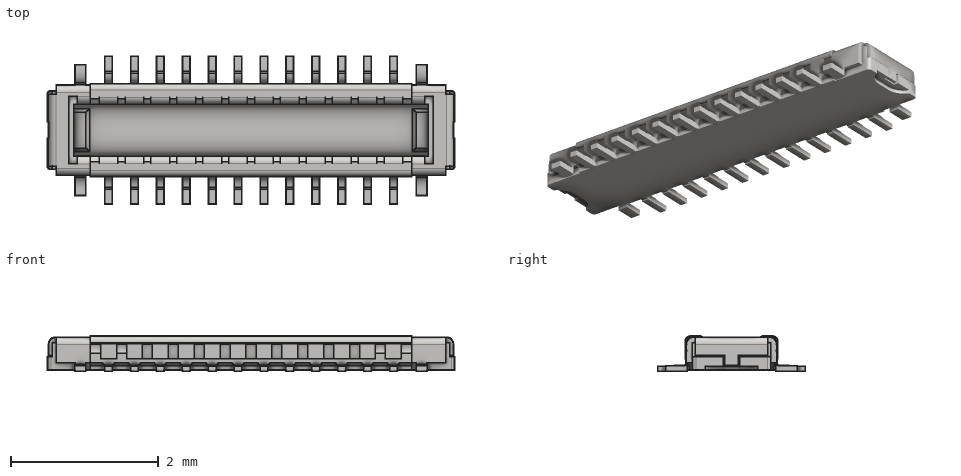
import cadquery as cq

LENGTH = 5.51
LEAD_SPAN = 2.0

SEAT_Z = 0.015
LEAD_TOP_Z = 0.07
FOOT_Z = 0.075
SKIRT_Z = 0.115
FLOOR_Z = 0.11
CORE_TOP_Z = 0.385
SHELL_TOP_Z = 0.465
WALL_TOP_Z = 0.48

CORE_LENGTH = 5.37
CORE_WIDTH = 1.065
CAVITY_LENGTH = 4.795
CAVITY_WIDTH = 0.705
LIP_TOP_Z = 0.2
LIP_CORNER_R = 0.05
KEY_HALF = 0.11
KEY_Z = 0.065
NOTCH_HALF = 0.36
NOTCH_TOP_Z = 0.065
NOTCH_DEPTH = 0.165

PAD_INNER_X = 2.18
PAD_WIDTH = 0.585
PAD_HEIGHT = 0.05
PAD_SLOPE = PAD_HEIGHT

SHELL_SIDE_X = 2.635
SHELL_END_X = 2.74
SHELL_SIDE_Y = 0.61
SHELL_END_WIDTH = 0.975
SHELL_R = 0.1
SHELL_CLEARANCE = 0.015
OPENING_END_X = 2.465
OPENING_HALF_Y = 0.46
CURL_OUTER_X = 2.35
CURL_BOTTOM_Z = 0.3
CURL_PROUD = 0.005

WALL_LENGTH = 4.35
WALL_Y = 0.63
WALL_R = 0.08
INNER_R = 0.095
BEVEL_Y = 0.425
BEVEL_BOTTOM_Z = 0.425
BROW_Z = 0.385
BROW_SLOPE_Z = 0.365
SKIRT_Y = 0.615
FOOT_Y = 0.56
POCKET_Y = 0.59
POCKET_Z = 0.17
END_POCKET_Z = 0.25

CONTACTS = 12
ROW_LENGTH = 3.85
PITCH = ROW_LENGTH / (CONTACTS - 1)
CONTACT_WIDTH = 0.215
CONTACT_Y = 0.62
CONTACT_TOP_WIDTH = 0.255
LEAD_WIDTH = 0.105
LEAD_ROOT_WIDTH = 0.165
LEAD_ROOT_Y = 0.595
LEAD_END_Y = LEAD_SPAN / 2
LEAD_STEP_Y = 0.77
LEAD_STEP_RUN = 0.03
LEAD_RAISED_Z = 0.08

TAB_X = 2.31
TAB_WIDTH = 0.15
TAB_END_Y = 0.885
TAB_BEND_Y = 0.64
TAB_BEND_Z = 0.095

CAVITY_Y = CAVITY_WIDTH / 2
CAVITY_X = CAVITY_LENGTH / 2
CORE_X = CORE_LENGTH / 2
contact_xs = [PITCH * i - ROW_LENGTH / 2 for i in range(CONTACTS)]
WALL_X = WALL_LENGTH / 2
INNER_ROUND_Y = CAVITY_Y + INNER_R
INNER_ROUND_Z = WALL_TOP_Z - INNER_R


def block(x0, x1, y0, y1, z0, z1):
    return cq.Workplane("XY").box(x1 - x0, y1 - y0, z1 - z0, centered=False).translate((x0, y0, z0))


def mid_block(length, width, z0, z1):
    return block(-length / 2, length / 2, -width / 2, width / 2, z0, z1)


def along_x(section, x, width):
    """Extrude a closed YZ section over a width centred on x."""
    return section.extrude(width / 2, both=True).translate((x, 0, 0))


def yz_prism(points, x, width):
    return along_x(cq.Workplane("YZ").polyline(points).close(), x, width)


def both_sides(solid):
    return solid.union(solid.mirror("XZ"))


def both_ends(solid):
    return solid.union(solid.mirror("YZ"))


def housing_core():
    core = mid_block(CORE_LENGTH, CORE_WIDTH, SEAT_Z, CORE_TOP_Z)
    lips = mid_block(LENGTH, CORE_WIDTH, SEAT_Z, LIP_TOP_Z).edges("|Z").fillet(LIP_CORNER_R)
    key = block(CORE_X, LENGTH / 2, -KEY_HALF, KEY_HALF, KEY_Z, LIP_TOP_Z)
    return core.union(lips).cut(both_ends(key))


def end_notches():
    deep_x = LENGTH / 2 - NOTCH_DEPTH
    notch = (
        cq.Workplane("XY", origin=(0, 0, SEAT_Z))
        .moveTo(deep_x, 0)
        .lineTo(deep_x, KEY_HALF)
        .tangentArcPoint((LENGTH / 2, NOTCH_HALF), relative=False)
        .lineTo(LENGTH / 2, 0)
        .close()
        .extrude(NOTCH_TOP_Z - SEAT_Z)
    )
    return both_ends(both_sides(notch))


def end_shells():
    sides = mid_block(2 * SHELL_SIDE_X, 2 * SHELL_SIDE_Y, SKIRT_Z, SHELL_TOP_Z)
    sides = sides.edges("|X and >Z").fillet(SHELL_R)
    end_bottom_z = LIP_TOP_Z + SHELL_CLEARANCE
    leg_width = 2 * (KEY_HALF - SHELL_CLEARANCE)
    leg_bottom_z = KEY_Z + SHELL_CLEARANCE
    ends = mid_block(2 * SHELL_END_X, SHELL_END_WIDTH, end_bottom_z, SHELL_TOP_Z)
    ends = ends.edges("|Y and >Z").fillet(SHELL_R)
    legs = mid_block(2 * SHELL_END_X, leg_width, leg_bottom_z, end_bottom_z)
    middle = mid_block(WALL_LENGTH, LENGTH, 0, LENGTH)
    opening = mid_block(2 * OPENING_END_X, 2 * OPENING_HALF_Y, CORE_TOP_Z, LENGTH)
    return sides.union(ends).union(legs).cut(middle).cut(opening)


def shell_curls():
    inner_y = CAVITY_Y - CURL_PROUD
    round_z = SHELL_TOP_Z - (OPENING_HALF_Y - inner_y)
    section = (
        cq.Workplane("YZ")
        .moveTo(inner_y, CURL_BOTTOM_Z)
        .lineTo(inner_y, round_z)
        .tangentArcPoint((OPENING_HALF_Y, SHELL_TOP_Z), relative=False)
        .lineTo(OPENING_HALF_Y, CURL_BOTTOM_Z)
        .close()
    )
    curl = along_x(section, (WALL_X + CURL_OUTER_X) / 2, CURL_OUTER_X - WALL_X)
    return both_ends(both_sides(curl))


def contact_top(x):
    """Rounded contact top on the inner edge of a wall."""
    section = (
        cq.Workplane("YZ")
        .moveTo(CAVITY_Y, BROW_SLOPE_Z)
        .lineTo(CAVITY_Y, INNER_ROUND_Z)
        .tangentArcPoint((INNER_ROUND_Y, WALL_TOP_Z), relative=False)
        .lineTo(INNER_ROUND_Y, BROW_SLOPE_Z)
        .close()
    )
    return along_x(section, x, CONTACT_TOP_WIDTH)


def side_walls():
    section = (
        cq.Workplane("YZ")
        .moveTo(BEVEL_Y, WALL_TOP_Z)
        .lineTo(WALL_Y - WALL_R, WALL_TOP_Z)
        .tangentArcPoint((WALL_Y, WALL_TOP_Z - WALL_R), relative=False)
        .lineTo(WALL_Y, BROW_Z)
        .lineTo(SKIRT_Y, BROW_SLOPE_Z)
        .lineTo(POCKET_Y, BROW_SLOPE_Z)
        .lineTo(POCKET_Y, POCKET_Z)
        .lineTo(SKIRT_Y, POCKET_Z)
        .lineTo(SKIRT_Y, SKIRT_Z)
        .lineTo(FOOT_Y, FOOT_Z)
        .lineTo(FOOT_Y, SEAT_Z)
        .lineTo(CAVITY_Y, SEAT_Z)
        .lineTo(CAVITY_Y, BEVEL_BOTTOM_Z)
        .close()
    )
    wall = along_x(section, 0, WALL_LENGTH)
    half = CONTACT_TOP_WIDTH / 2
    for x in contact_xs:
        slot = block(x - half, x + half, CAVITY_Y, INNER_ROUND_Y, BROW_SLOPE_Z, WALL_TOP_Z)
        wall = wall.cut(slot).union(contact_top(x))
    return both_sides(wall)


def end_pocket_steps():
    """Hollow-topped fill in the two outermost pockets at each wall end."""
    section = (
        cq.Workplane("YZ")
        .moveTo(INNER_ROUND_Y, POCKET_Z)
        .lineTo(INNER_ROUND_Y, BROW_Z)
        .lineTo(POCKET_Y, BROW_Z)
        .lineTo(POCKET_Y, BROW_SLOPE_Z)
        .tangentArcPoint((SKIRT_Y, END_POCKET_Z), relative=False)
        .lineTo(SKIRT_Y, POCKET_Z)
        .close()
    )
    inner_x = contact_xs[-2]
    steps = along_x(section, (inner_x + WALL_X) / 2, WALL_X - inner_x)
    return both_ends(both_sides(steps))


def lead(x):
    points = [
        (LEAD_ROOT_Y, 0),
        (LEAD_END_Y, 0),
        (LEAD_END_Y, LEAD_TOP_Z),
        (LEAD_STEP_Y + LEAD_STEP_RUN, LEAD_TOP_Z),
        (LEAD_STEP_Y, LEAD_RAISED_Z),
        (FOOT_Y, LEAD_RAISED_Z),
        (FOOT_Y, SEAT_Z),
        (LEAD_ROOT_Y, SEAT_Z),
    ]
    root = (
        cq.Workplane("XZ")
        .moveTo(x - LEAD_WIDTH / 2, FOOT_Z)
        .lineTo(x + LEAD_WIDTH / 2, FOOT_Z)
        .lineTo(x + LEAD_ROOT_WIDTH / 2, SKIRT_Z)
        .lineTo(x - LEAD_ROOT_WIDTH / 2, SKIRT_Z)
        .close()
        .extrude(SKIRT_Y - FOOT_Y)
        .translate((0, SKIRT_Y, 0))
    )
    return yz_prism(points, x, LEAD_WIDTH).union(root)


def contacts():
    row = cq.Workplane("XY")
    half = CONTACT_WIDTH / 2
    for x in contact_xs:
        face = block(x - half, x + half, INNER_ROUND_Y, CONTACT_Y, POCKET_Z, BROW_Z)
        row = row.union(face).union(lead(x))
    return both_sides(row)


def hold_down_tabs():
    points = [
        (LEAD_ROOT_Y, 0),
        (TAB_END_Y, 0),
        (TAB_END_Y, FOOT_Z),
        (TAB_BEND_Y, FOOT_Z),
        (SHELL_SIDE_Y, TAB_BEND_Z),
        (SHELL_SIDE_Y, SKIRT_Z),
        (LEAD_ROOT_Y, SKIRT_Z),
    ]
    return both_ends(both_sides(yz_prism(points, TAB_X, TAB_WIDTH)))


def floor_pads():
    """Raised pads with sloped sides, running into the cavity ends."""
    half = PAD_WIDTH / 2
    pad_top_z = FLOOR_Z + PAD_HEIGHT
    pad = block(PAD_INNER_X, CAVITY_X, -half, half, SEAT_Z, pad_top_z)
    top_rim = pad.faces(">Z").edges("<X or <Y or >Y")
    return both_ends(top_rim.chamfer(PAD_SLOPE))


cavity = mid_block(CAVITY_LENGTH, CAVITY_WIDTH, FLOOR_Z, WALL_TOP_Z)
result = (
    housing_core()
    .union(end_shells())
    .cut(end_notches())
    .union(side_walls())
    .union(end_pocket_steps())
    .union(contacts())
    .union(hold_down_tabs())
    .cut(cavity)
    .union(shell_curls())
    .union(floor_pads())
)